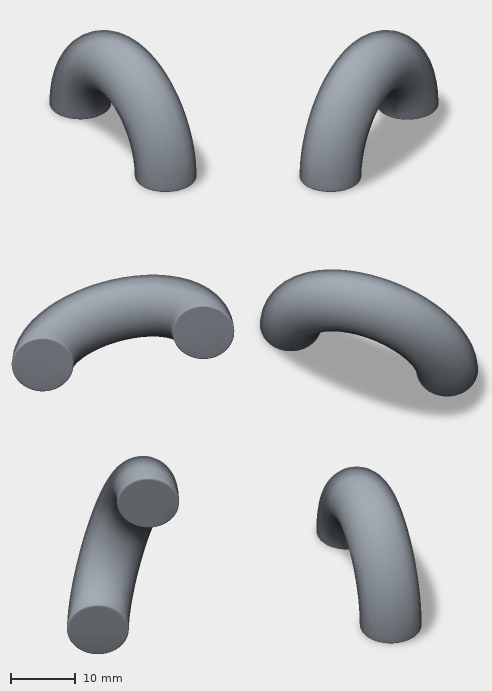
import cadquery as cq

overall_width = 34.92
rod_diameter = 9.55
end_rounding = 0.28

rod_radius = rod_diameter / 2
bend_radius = overall_width / 2 - rod_radius


def bent_rod():
    """Sweep the rod section half a turn about the Y axis, rising above Z = 0."""
    return (
        cq.Workplane("XY")
        .center(-bend_radius, 0)
        .circle(rod_radius)
        .revolve(180, (bend_radius, 0), (bend_radius, 1))
    )


result = bent_rod().faces("<Z").edges().fillet(end_rounding)